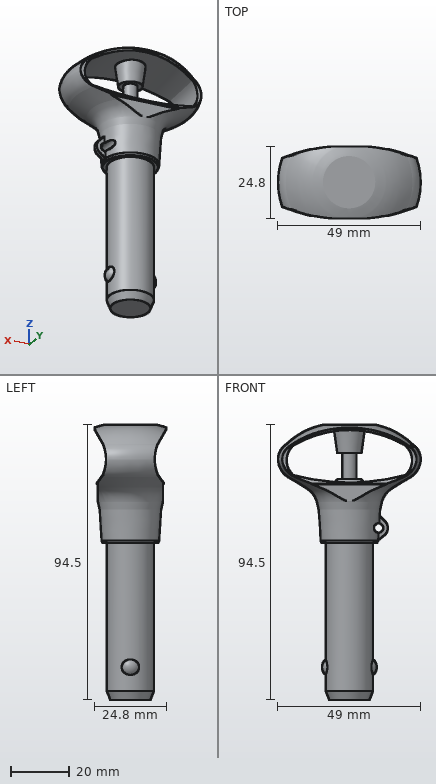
import cadquery as cq

total_height = 94.5

shank_radius = 8.1
tip_radius = 6.9
tip_height = 3.1

ball_radius = 3.3
ball_reach = 9.45
ball_height = 11.3

collar_bottom = 54.0
collar_edge_height = 0.85
collar_bottom_radius = 9.5
collar_lower_radius = 9.9
collar_top = 65.3
collar_top_radius = 10.6
neck_height = 67.85
neck_radius = 11.15
overall_width = 49.0
grip_radius = overall_width / 2
grip_height = 82.4
flare_radius = 14.9
flare_height = 72.9
underside_radius = 21.0
underside_height = 76.45
shoulder_radius = 21.7
shoulder_height = 87.7
crown_radius = 9.0

crown_half_width = 12.4
crown_edge_height = 93.0
waist_half_width = 8.4
waist_upper_half_width = 9.4
waist_lower_half_width = 9.5
waist_lower_height = 77.1
lip_half_width = 11.5
lip_height = 74.4
flat_half_width = 11.2
flat_top = 74.0
trim_margin = 1.9

window_half_width = 21.45
window_top = 92.6
window_bottom = 74.7
window_corner_x = 19.4
window_corner_top = 87.2
window_corner_bottom = 77.3

stem_radius = 5.0 / 2
button_top_radius = 5.3
button_bottom_radius = 8.4 / 2
button_bottom = 84.8
bushing_base_radius = 5.2
bushing_top_radius = 4.0
bushing_top = 75.9

tab_hole_x = 10.0
tab_hole_height = 59.1
tab_hole_radius = 3.1 / 2
tab_radius = 3.2
tab_thickness = 1.9
tab_top = 63.1
tab_root = 6.6


def cone(bottom, bottom_radius, top, top_radius):
    """Truncated cone about the pin axis."""
    outline = [(0, bottom), (-bottom_radius, bottom), (-top_radius, top), (0, top)]
    return cq.Workplane("XZ").polyline(outline).close().revolve(360, (0, 0), (0, 1))


def make_shank():
    tip = cone(0, tip_radius, tip_height, shank_radius)
    barrel = cone(tip_height, shank_radius, collar_bottom + collar_edge_height, shank_radius)
    shank = tip.union(barrel)
    for side in (-1, 1):
        ball_center = (side * (ball_reach - ball_radius), 0, ball_height)
        shank = shank.union(cq.Workplane("XY").sphere(ball_radius).translate(ball_center))
    return shank


def make_handle_body():
    """Collar flaring into the rounded grip, turned to keep its seam clear of the lanyard tab."""
    return (
        cq.Workplane("XZ")
        .moveTo(0, collar_bottom)
        .lineTo(collar_bottom_radius, collar_bottom)
        .lineTo(collar_lower_radius, collar_bottom + collar_edge_height)
        .lineTo(collar_top_radius, collar_top)
        .lineTo(neck_radius, neck_height)
        .threePointArc((12.5, 70.7), (flare_radius, flare_height))
        .lineTo(underside_radius, underside_height)
        .threePointArc((23.6, 79.3), (grip_radius, grip_height))
        .threePointArc((23.8, 85.4), (shoulder_radius, shoulder_height))
        .threePointArc((16.0, 91.95), (crown_radius, total_height))
        .lineTo(0, total_height)
        .close()
        .revolve(360, (0, 0), (0, 1))
        .rotate((0, 0, 0), (0, 0, 1), -90)
    )


def make_side_trim():
    """Waisted YZ outline that keeps the middle of the handle."""
    return (
        cq.Workplane("YZ")
        .moveTo(-flat_half_width, collar_bottom)
        .lineTo(flat_half_width, collar_bottom)
        .lineTo(flat_half_width, flat_top)
        .lineTo(lip_half_width, lip_height)
        .lineTo(waist_lower_half_width, waist_lower_height)
        .threePointArc((waist_half_width, grip_height), (waist_upper_half_width, shoulder_height))
        .lineTo(crown_half_width, crown_edge_height)
        .lineTo(crown_half_width, total_height)
        .lineTo(-crown_half_width, total_height)
        .lineTo(-crown_half_width, crown_edge_height)
        .lineTo(-waist_upper_half_width, shoulder_height)
        .threePointArc((-waist_half_width, grip_height), (-waist_lower_half_width, waist_lower_height))
        .lineTo(-lip_half_width, lip_height)
        .lineTo(-flat_half_width, flat_top)
        .close()
        .extrude(grip_radius + trim_margin, both=True)
    )


def make_window():
    """Eye-shaped opening through the handle along Y."""
    return (
        cq.Workplane("XZ")
        .moveTo(-window_corner_x, window_corner_bottom)
        .threePointArc((0, window_bottom), (window_corner_x, window_corner_bottom))
        .threePointArc((window_half_width, grip_height), (window_corner_x, window_corner_top))
        .threePointArc((0, window_top), (-window_corner_x, window_corner_top))
        .threePointArc((-window_half_width, grip_height), (-window_corner_x, window_corner_bottom))
        .close()
        .extrude(grip_radius, both=True)
    )


def make_button():
    bushing = cone(window_bottom, bushing_base_radius, bushing_top, bushing_top_radius)
    stem = cone(collar_top, stem_radius, button_bottom, stem_radius)
    cap = cone(button_bottom, button_bottom_radius, window_top, button_top_radius)
    return bushing.union(stem).union(cap)


def make_tab():
    """Thin ear beside the collar with a rounded outer end."""
    diagonal = tab_radius * 0.5 ** 0.5
    return (
        cq.Workplane("XZ")
        .moveTo(tab_root, collar_bottom + collar_edge_height)
        .lineTo(collar_lower_radius, collar_bottom + collar_edge_height)
        .lineTo(tab_hole_x + diagonal, tab_hole_height - diagonal)
        .threePointArc(
            (tab_hole_x + tab_radius, tab_hole_height),
            (tab_hole_x + diagonal, tab_hole_height + diagonal),
        )
        .lineTo(collar_top_radius, tab_top)
        .lineTo(tab_root, tab_top)
        .close()
        .extrude(tab_thickness / 2, both=True)
    )


def make_tab_hole():
    return (
        cq.Workplane("XZ")
        .center(tab_hole_x, tab_hole_height)
        .circle(tab_hole_radius)
        .extrude(collar_top_radius, both=True)
    )


handle = make_handle_body().intersect(make_side_trim()).cut(make_window())
result = make_shank().union(handle).union(make_button()).union(make_tab()).cut(make_tab_hole())